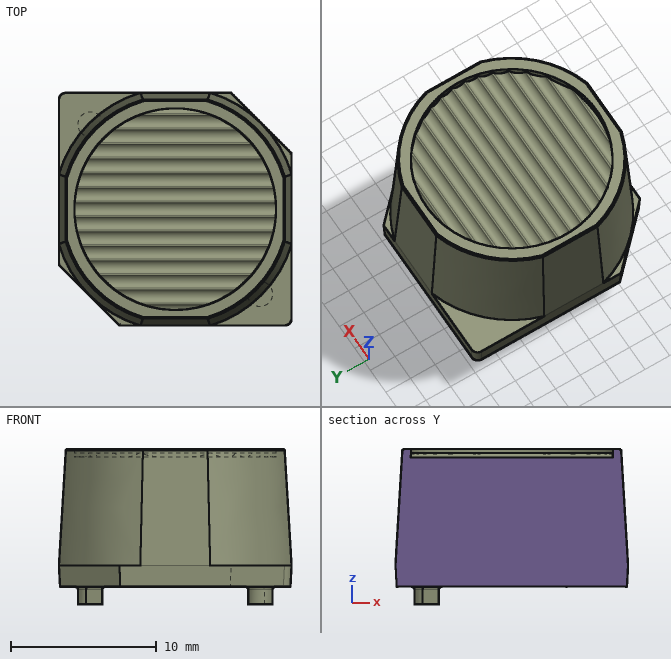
import cadquery as cq
import math

total_height = 10.69
pin_length = 1.2
base_thickness = 1.49
base_top = pin_length + base_thickness
body_height = total_height - base_top

base_side = 16.0
base_half = base_side / 2
corner_cut = 4.18
corner_radius = 0.5
base_draft = 3.0
base_bottom_radius = 0.1

body_bottom_radius = 8.35
body_top_radius = 7.84
body_top_side = 15.04
rim_edge = 0.1

recess_radius = 6.93
crest_depth = 0.29
groove_pitch = 1.0
groove_radius = groove_pitch / 2
crest_radius = 0.08
groove_count = 15

pin_radius = 0.86
pin_offset = 5.82
pin_flat_distance = 0.37
pin_root_radius = 0.16


def make_base():
    outline = (
        cq.Workplane("XY")
        .workplane(offset=base_top)
        .moveTo(-base_half + corner_cut, -base_half)
        .lineTo(base_half, -base_half)
        .lineTo(base_half, base_half - corner_cut)
        .lineTo(base_half - corner_cut, base_half)
        .lineTo(-base_half, base_half)
        .lineTo(-base_half, -base_half + corner_cut)
        .close()
    )
    plate = outline.extrude(-base_thickness, taper=base_draft)
    for corner in ((base_half, -base_half), (-base_half, base_half)):
        nearest = cq.selectors.NearestToPointSelector((*corner, pin_length + base_thickness / 2))
        plate = plate.edges(nearest).fillet(corner_radius)
    return plate.faces("<Z").edges().fillet(base_bottom_radius)


def make_body():
    cone = (
        cq.Workplane("XY")
        .workplane(offset=base_top)
        .circle(body_bottom_radius)
        .workplane(offset=body_height)
        .circle(body_top_radius)
        .loft(ruled=True)
    )
    flats = (
        cq.Workplane("XY")
        .workplane(offset=base_top)
        .rect(base_side, base_side)
        .workplane(offset=body_height)
        .rect(body_top_side, body_top_side)
        .loft(ruled=True)
    )
    return cone.intersect(flats).faces(">Z").edges().chamfer(rim_edge)


def make_recess():
    """Shallow round pocket with a floor of concave grooves along X, blended by rounded crests."""
    blend_angle = math.asin(groove_pitch / 2 / (groove_radius + crest_radius))
    crest_z = total_height - crest_depth
    crest_half_width = crest_radius * math.sin(blend_angle)
    blend_z = crest_z - crest_radius * (1 - math.cos(blend_angle))
    valley_z = blend_z - groove_radius * (1 - math.cos(blend_angle))

    start_y = -groove_count / 2 * groove_pitch
    profile = (
        cq.Workplane("YZ")
        .workplane(offset=-base_half)
        .moveTo(start_y + crest_half_width, total_height)
        .lineTo(start_y + crest_half_width, blend_z)
    )
    for i in range(groove_count):
        valley_y = start_y + (i + 0.5) * groove_pitch
        crest_y = valley_y + groove_pitch / 2
        profile = profile.threePointArc(
            (valley_y, valley_z), (crest_y - crest_half_width, blend_z)
        ).threePointArc((crest_y, crest_z), (crest_y + crest_half_width, blend_z))
    end_y = crest_y + crest_half_width
    space_above = profile.lineTo(end_y, total_height).close().extrude(base_side)
    pocket = (
        cq.Workplane("XY")
        .workplane(offset=valley_z)
        .circle(recess_radius)
        .extrude(total_height - valley_z)
    )
    return pocket.intersect(space_above)


def add_pin(part, direction):
    """Add a D-shaped pin at the given angle about Z, with a fillet where it meets the base."""
    pin = cq.Workplane("XY").circle(pin_radius).extrude(pin_length)
    beyond_flat = (
        cq.Workplane("XY")
        .rect(2 * pin_radius, 2 * pin_radius)
        .extrude(pin_length)
        .translate((-pin_radius - pin_flat_distance, 0, 0))
    )
    distance_out = pin_offset * math.sqrt(2)
    pin = pin.cut(beyond_flat).translate((distance_out, 0, 0)).rotate((0, 0, 0), (0, 0, 1), direction)
    angle = math.radians(direction)
    centre_x = distance_out * math.cos(angle)
    centre_y = distance_out * math.sin(angle)
    reach = pin_radius + pin_root_radius
    root_zone = cq.selectors.BoxSelector(
        (centre_x - reach, centre_y - reach, pin_length - pin_root_radius / 2),
        (centre_x + reach, centre_y + reach, pin_length + pin_root_radius / 2),
    )
    return part.union(pin).edges(root_zone).fillet(pin_root_radius)


result = make_base()
for direction in (-45, 135):
    result = add_pin(result, direction)
result = result.union(make_body()).cut(make_recess())